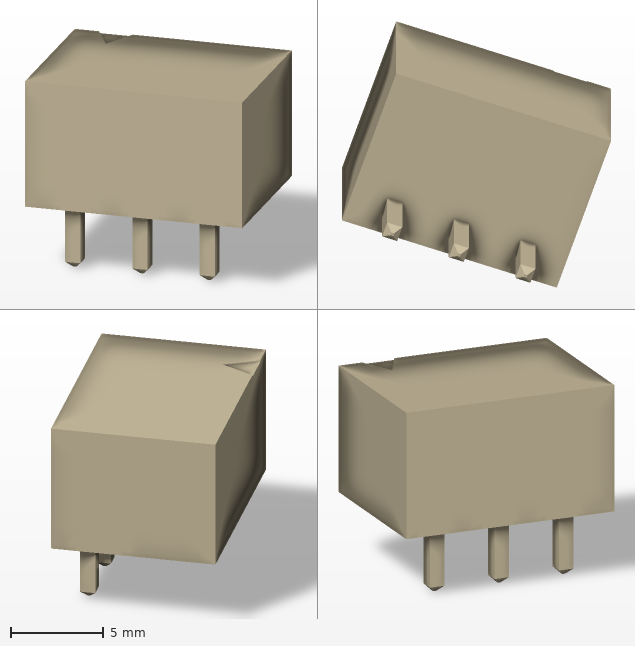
import cadquery as cq

housing_length = 12.31
housing_width = 9.15
housing_height = 7.2
front_face = -housing_width / 2
back_face = housing_width / 2

overall_height = 10.9
pin_count = 3
pin_pitch = 3.82
pin_side = 0.86
pin_length = overall_height - housing_height
pin_tip_chamfer = 0.35
pin_row_inset = 1.6
pin_row_y = front_face + pin_row_inset
first_pin_x = -pin_pitch * (pin_count - 1) / 2

mark_width = pin_pitch / 2
mark_length = mark_width
mark_depth = 0.1


def make_mark_cutter():
    """Triangular prism with its base on the back face and its point toward the front."""
    return (
        cq.Workplane("XY", origin=(first_pin_x, back_face, housing_height))
        .moveTo(-mark_width / 2, 0)
        .lineTo(0, -mark_length)
        .lineTo(mark_width / 2, 0)
        .close()
        .extrude(-mark_depth)
    )


def make_housing():
    """Plain block with the triangular mark for the first pin."""
    block = cq.Workplane("XY").box(
        housing_length, housing_width, housing_height, centered=(True, True, False)
    )
    return block.cut(make_mark_cutter())


def make_pin(x):
    """Square pin hanging from the underside of the housing, chamfered at its tip."""
    return (
        cq.Workplane("XY", origin=(x, pin_row_y, 0))
        .rect(pin_side, pin_side)
        .extrude(-pin_length)
        .faces("<Z")
        .chamfer(pin_tip_chamfer)
    )


housing = make_housing()

pins = []
for index in range(pin_count):
    pin = make_pin(first_pin_x + index * pin_pitch)
    pins.append(pin.val())

result = cq.Compound.makeCompound([housing.val(), *pins])